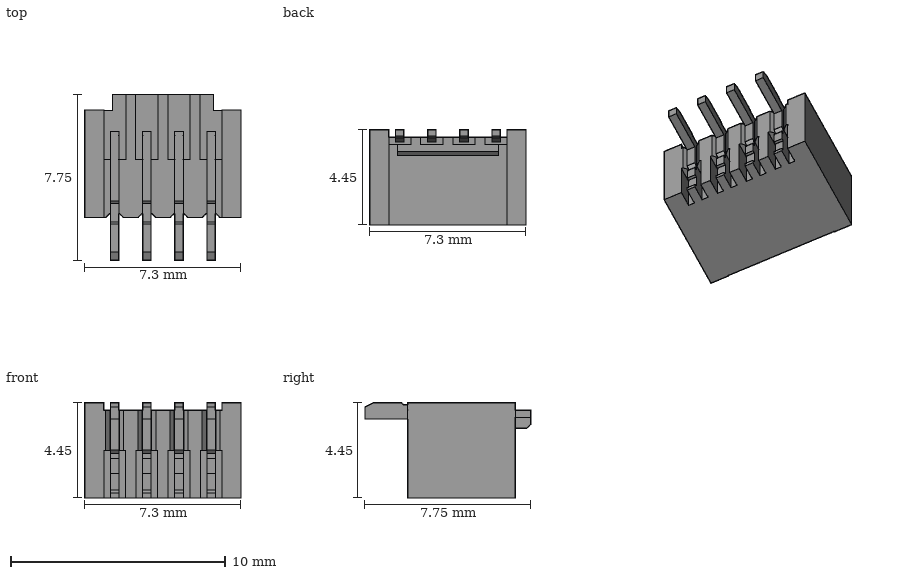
import cadquery as cq


overall_depth = 7.75

width = 7.3
height = 4.45
wall_depth = 5.03
wall_thickness = 0.9
core_width = width - 2 * wall_thickness
core_depth = 5.01
core_top = 4.11

contact_count = 4
row_span = 4.5
pitch = row_span / (contact_count - 1)
contact_xs = [i * pitch - row_span / 2 for i in range(contact_count)]
contact_width = 0.4

tongue_width = 4.73
tongue_back = 5.76
tongue_bottom = 3.25
tongue_chamfer = 0.19

groove_width = 1.04
groove_front = 2.71
groove_floor = 3.75

slot_width = 1.01
slot_height = 2.22
slot_depth = 0.775
notch_mouth = 0.84
notch_floor = 0.45
notch_depth = (notch_mouth - notch_floor) / 2

tip_front = tongue_back - overall_depth
tip_chamfer_depth = 0.395
tip_chamfer_drop = 0.19
arm_bottom = 3.69
saddle_z = 4.36
saddle_slope = height - saddle_z
saddle_front = -0.2
saddle_back = 0.675
saddle_back_slope = 0.11
arm_back = 4.02
arm_end_z = 4.155
arm_end_chamfer = 0.185
arm_under_z = 4.05
arm_root_y = 3.3
arm_root_z = 3.875

leg_recess = 0.155
foot_height = 0.225
foot_slope_top = 0.365
pad_bottom = 1.15
pad_front = 0.02
pad_top = 1.845
leg_shoulder = 2.08
leg_shoulder_top = leg_shoulder + leg_recess


def box(x0, x1, y0, y1, z0, z1):
    """Axis-aligned box between two opposite corners."""
    return cq.Workplane("XY").box(x1 - x0, y1 - y0, z1 - z0, centered=False).translate((x0, y0, z0))


def centred_box(x, x_size, y0, y1, z0, z1):
    """Box centred on x in the X direction."""
    return box(x - x_size / 2, x + x_size / 2, y0, y1, z0, z1)


def end_wall(side):
    """Full-height end wall; side is -1 or +1."""
    x = side * (width - wall_thickness) / 2
    return centred_box(x, wall_thickness, 0, wall_depth, 0, height)


def tongue():
    """Rear tongue with its lower back edge chamfered."""
    body = centred_box(0, tongue_width, core_depth, tongue_back, tongue_bottom, core_top)
    return body.faces(">Y").edges("<Z").chamfer(tongue_chamfer)


def front_notch(x):
    """Notch above a slot, with walls converging at 45 degrees to a flat floor."""
    mouth = notch_mouth / 2
    floor = notch_floor / 2
    outline = [(x - mouth, 0), (x + mouth, 0), (x + floor, notch_depth), (x - floor, notch_depth)]
    prism = cq.Workplane("XY").polyline(outline).close().extrude(core_top - slot_height)
    return prism.translate((0, 0, slot_height))


def contact(x):
    """One contact as a constant-width plate, drawn as a (Y, Z) outline."""
    outline = [
        (slot_depth, 0),
        (0, 0),
        (0, foot_height),
        (leg_recess, foot_slope_top),
        (leg_recess, pad_bottom),
        (pad_front, pad_bottom),
        (pad_front, pad_top),
        (leg_recess, pad_top),
        (leg_recess, leg_shoulder),
        (0, leg_shoulder_top),
        (0, arm_bottom),
        (tip_front, arm_bottom),
        (tip_front, height - tip_chamfer_drop),
        (tip_front + tip_chamfer_depth, height),
        (saddle_front - saddle_slope, height),
        (saddle_front, saddle_z),
        (saddle_back, saddle_z),
        (saddle_back + saddle_back_slope, height),
        (arm_back, height),
        (arm_back, arm_end_z),
        (arm_back - arm_end_chamfer, arm_under_z),
        (arm_root_y, arm_under_z),
        (groove_front, arm_root_z),
        (slot_depth, arm_root_z),
    ]
    plate = cq.Workplane("YZ").polyline(outline).close().extrude(contact_width)
    return plate.translate((x - contact_width / 2, 0, 0))


housing = centred_box(0, core_width, 0, core_depth, 0, core_top).union(tongue())
for x in contact_xs:
    housing = housing.cut(centred_box(x, groove_width, groove_front, tongue_back, groove_floor, core_top))
    housing = housing.cut(centred_box(x, slot_width, 0, slot_depth, 0, slot_height))
    housing = housing.cut(front_notch(x))

for side in (-1, 1):
    housing = housing.union(end_wall(side))

result = housing
for x in contact_xs:
    result = result.union(contact(x))